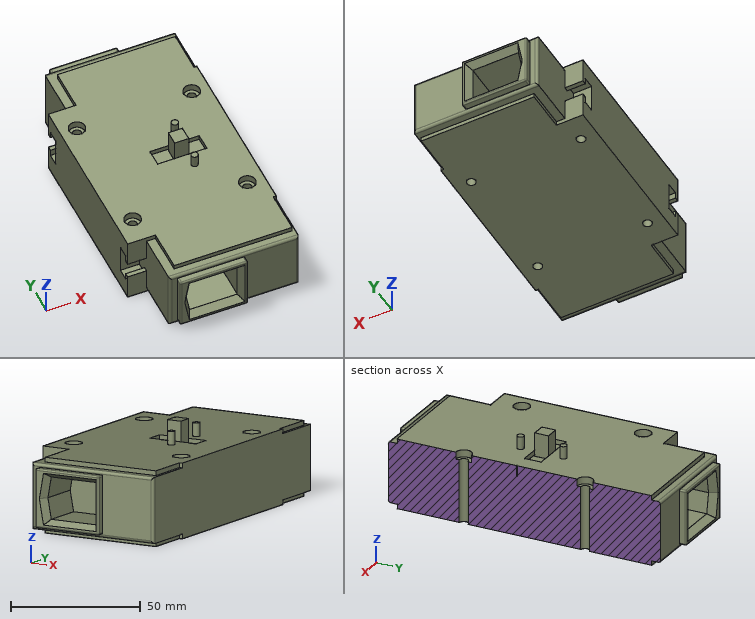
import cadquery as cq
import math

body_width = 63.0
body_height = 30.0
middle_length = 75.6
mid_z = body_height / 2

plate_left = 11.8
plate_right = 61.8
plate_length = 111.2

housing_left = 8.0
housing_length = 119.0
housing_height = 26.2
housing_edge_radius = 1.1

overall_length = 125.0
boss_left = 11.4
boss_right = 40.0
boss_height = 23.4
boss_edge_radius = 0.6

mouth_tip = 13.2
mouth_left = 15.1
mouth_right = 38.8
mouth_height = 20.5
taper_inset = 1.9
taper_depth = 3.2
pocket_depth = 20.0

hole_diameter = 3.8
counterbore_diameter = 6.8
counterbore_depth = 3.0
hole_left = 7.1
hole_spacing_x = 48.6
hole_spacing_y = 53.0

slot_left = 27.9
slot_right = 48.8
slot_width = 7.2
slot_depth = 2.0
lever_left = 35.4
lever_size = 6.0
lever_height = 8.0
pin_x = 41.0
pin_spacing = 18.8
pin_diameter = 2.9
pin_height = 5.2

neck_length = 1.9
neck_height = 7.1
notch_length = 6.9
head_height = 12.9


def block(x_min, x_max, y_size, z_min, z_max):
    """Box between two X and two Z levels, centred on Y = 0."""
    return (
        cq.Workplane("XY")
        .box(x_max - x_min, y_size, z_max - z_min, centered=(False, True, False))
        .translate((x_min, 0, z_min))
    )


def centred_block(x_min, x_max, y_size, z_size):
    """Box centred on Y = 0 and on the middle height of the body."""
    return block(x_min, x_max, y_size, mid_z - z_size / 2, mid_z + z_size / 2)


def both_ends(shape):
    """The shape together with its mirror image at the other Y end."""
    return shape.union(shape.mirror("XZ"))


def make_housing():
    housing = centred_block(housing_left, body_width, housing_length, housing_height)
    housing = housing.faces("<Y or >Y").edges().fillet(housing_edge_radius)
    bosses = centred_block(boss_left, boss_right, overall_length, boss_height)
    bosses = bosses.edges().fillet(boss_edge_radius)
    return housing.union(bosses)


def make_pocket():
    """Pocket of the front connector, cut inwards from the boss face."""
    mouth_top = mid_z + mouth_height / 2
    mouth_bottom = mid_z - mouth_height / 2
    mouth = (
        cq.Workplane("XZ", origin=(0, -overall_length / 2, 0))
        .moveTo(mouth_tip, mid_z)
        .lineTo(mouth_left, mouth_top)
        .lineTo(mouth_right, mouth_top)
        .lineTo(mouth_right, mouth_bottom)
        .lineTo(mouth_left, mouth_bottom)
        .close()
    )
    taper_angle = math.degrees(math.atan2(taper_inset, taper_depth))
    taper = mouth.extrude(-taper_depth, taper=taper_angle)
    inner_end = taper.faces(">Y").wires().toPending().workplane()
    return inner_end.extrude(pocket_depth - taper_depth)


def make_notch():
    """T-shaped notch at the front shoulder, as deep as the shoulder is wide."""
    edge = -middle_length / 2
    neck = centred_block(0, housing_left, neck_length, neck_height)
    neck = neck.translate((0, edge + neck_length / 2, 0))
    head_length = notch_length - neck_length
    head = centred_block(0, housing_left, head_length, head_height)
    head = head.translate((0, edge + neck_length + head_length / 2, 0))
    return neck.union(head)


def make_switch():
    lever_bottom = body_height - slot_depth
    lever_top = body_height + lever_height
    lever = block(lever_left, lever_left + lever_size, lever_size, lever_bottom, lever_top)
    pins = (
        cq.Workplane("XY", origin=(pin_x, 0, body_height))
        .rarray(1.2, pin_spacing, 1, 2)
        .circle(pin_diameter / 2)
        .extrude(pin_height)
    )
    return lever.union(pins)


def drill_mounting_holes(body):
    centre_x = hole_left + hole_spacing_x / 2
    return (
        body.copyWorkplane(cq.Workplane("XY", origin=(centre_x, 0, body_height)))
        .rarray(hole_spacing_x, hole_spacing_y, 2, 2)
        .cboreHole(hole_diameter, counterbore_diameter, counterbore_depth)
    )


middle = block(0, body_width, middle_length, 0, body_height)
plates = block(plate_left, plate_right, plate_length, 0, body_height)
switch_slot = block(slot_left, slot_right, slot_width, body_height - slot_depth, body_height)

body = middle.union(plates).union(make_housing())
body = body.cut(both_ends(make_pocket()))
body = body.cut(both_ends(make_notch()))
body = drill_mounting_holes(body)
body = body.cut(switch_slot)
result = body.union(make_switch())